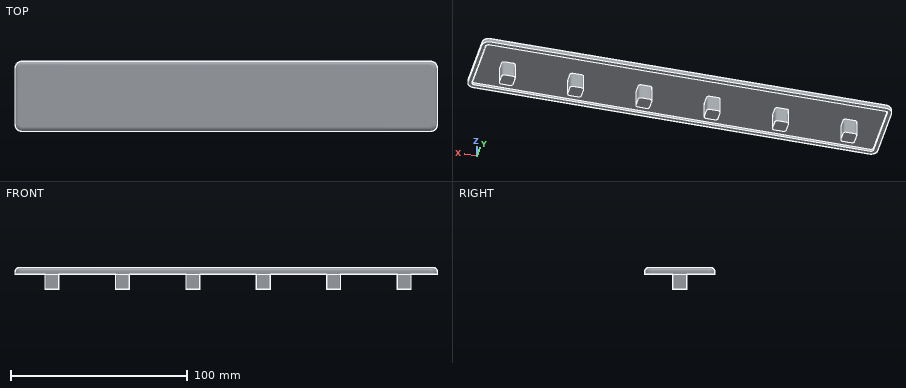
import cadquery as cq

plate_length = 240.0
plate_width = 40.0
plate_thickness = 4.0
plate_corner_radius = 4.0
top_edge_radius = 2.5

wall_thickness = 2.5
recess_depth = 1.5
recess_length = plate_length - 2 * wall_thickness
recess_width = plate_width - 2 * wall_thickness
recess_corner_radius = plate_corner_radius - wall_thickness

overall_height = 12.5
peg_count = 6
peg_pitch = plate_length / peg_count
peg_row_offset = 1.0
peg_side = 8.0
peg_corner_radius = 1.5
peg_length = overall_height - plate_thickness + recess_depth


def rounded_slab(length, width, height, corner_radius):
    """Slab standing on Z = 0 with rounded vertical corners."""
    slab = cq.Workplane("XY").box(length, width, height, centered=(True, True, False))
    return slab.edges("|Z").fillet(corner_radius)


def make_plate():
    """Plate with a rounded upper edge and a recessed underside."""
    plate = rounded_slab(plate_length, plate_width, plate_thickness, plate_corner_radius)
    plate = plate.faces(">Z").edges().fillet(top_edge_radius)
    recess = rounded_slab(recess_length, recess_width, recess_depth, recess_corner_radius)
    return plate.cut(recess)


def make_pegs():
    """Row of round-cornered square pegs hanging from the recess floor."""
    return (
        cq.Workplane("XY", origin=(peg_row_offset, 0, recess_depth))
        .rarray(peg_pitch, 1, peg_count, 1)
        .rect(peg_side, peg_side)
        .extrude(-peg_length)
        .edges("|Z")
        .fillet(peg_corner_radius)
    )


result = make_plate().union(make_pegs())